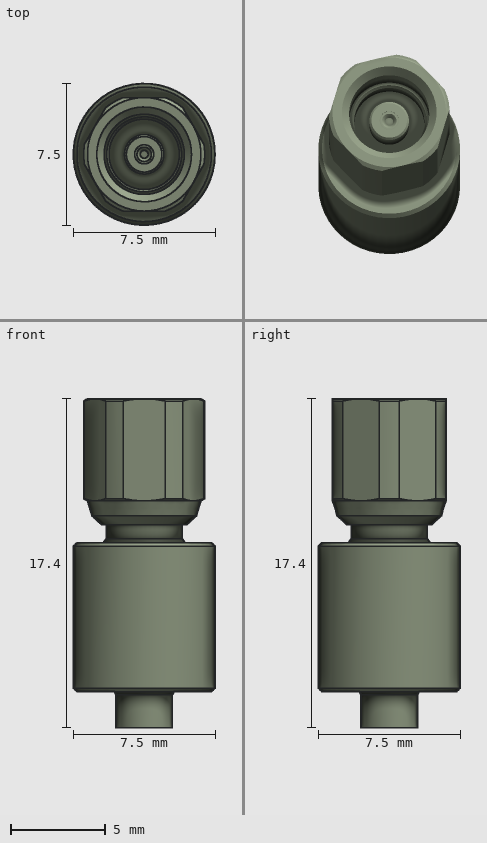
import cadquery as cq
import math

total_height = 17.41

pin_radius = 1.5
pin_flare_radius = 1.58
pin_flare_height = 0.15
body_radius = 3.752
body_bottom = 1.92
body_top = 9.8
body_chamfer = 0.2
neck_radius = 2.02
neck_flare_radius = 2.16
neck_flare_height = 0.21

hex_across_flats = 6.0
hex_corner_radius = 3.2
hex_bottom = 12.01
hex_chamfer_angle = 30.0
collar_top_radius = hex_across_flats / 2
collar_middle_radius = 2.77
collar_middle = 11.23
collar_bottom_radius = 2.25
collar_bottom = 10.75

socket_radius = 2.12
socket_mouth_radius = 2.5
socket_floor = 15.5
cavity_radius = 1.86
cavity_mouth_radius = 1.98
cavity_floor = 14.62

insulator_radius = 1.05
insulator_chamfer = 0.1
insulator_top = 15.69
contact_hole_radius = 0.5
contact_cone_radius = 0.38
contact_floor_radius = 0.21
contact_recess = 0.05
contact_cone_depth = 0.17


def revolve_profile(points):
    """Revolve a closed outline of (radius, height) points about Z."""
    return cq.Workplane("XZ").polyline(points).close().revolve(360, (0, 0), (0, 1))


def make_body():
    chamfered_radius = body_radius - body_chamfer
    return revolve_profile([
        (0, 0),
        (pin_radius, 0),
        (pin_radius, body_bottom - pin_flare_height),
        (pin_flare_radius, body_bottom),
        (chamfered_radius, body_bottom),
        (body_radius, body_bottom + body_chamfer),
        (body_radius, body_top - body_chamfer),
        (chamfered_radius, body_top),
        (neck_flare_radius, body_top),
        (neck_radius, body_top + neck_flare_height),
        (neck_radius, collar_bottom),
        (collar_bottom_radius, collar_bottom),
        (collar_middle_radius, collar_middle),
        (collar_top_radius, hex_bottom),
        (0, hex_bottom),
    ])


def make_hex():
    """Hexagon trimmed by a turned blank that rounds and chamfers its corners."""
    height = total_height - hex_bottom
    hexagon_diameter = hex_across_flats / math.cos(math.radians(30))
    hexagon = cq.Workplane("XY").workplane(offset=hex_bottom).polygon(6, hexagon_diameter).extrude(height)
    flat_radius = hex_across_flats / 2
    chamfer_height = (hex_corner_radius - flat_radius) * math.tan(math.radians(hex_chamfer_angle))
    blank = revolve_profile([
        (0, hex_bottom),
        (flat_radius, hex_bottom),
        (hex_corner_radius, hex_bottom + chamfer_height),
        (hex_corner_radius, total_height - chamfer_height),
        (flat_radius, total_height),
        (0, total_height),
    ])
    return hexagon.intersect(blank)


def make_socket():
    """Stepped bore with 45 degree lead-ins at the mouth and at the step."""
    mouth_depth = socket_mouth_radius - socket_radius
    step_depth = cavity_mouth_radius - cavity_radius
    return revolve_profile([
        (0, cavity_floor),
        (cavity_radius, cavity_floor),
        (cavity_radius, socket_floor - step_depth),
        (cavity_mouth_radius, socket_floor),
        (socket_radius, socket_floor),
        (socket_radius, total_height - mouth_depth),
        (socket_mouth_radius, total_height),
        (0, total_height),
    ])


def make_insulator():
    """Chamfered boss on the cavity floor with a recessed, cone-ended contact."""
    cone_top = insulator_top - contact_recess
    contact_floor = cone_top - contact_cone_depth
    return revolve_profile([
        (0, cavity_floor),
        (insulator_radius, cavity_floor),
        (insulator_radius, insulator_top - insulator_chamfer),
        (insulator_radius - insulator_chamfer, insulator_top),
        (contact_hole_radius, insulator_top),
        (contact_hole_radius, cone_top),
        (contact_cone_radius, cone_top),
        (contact_floor_radius, contact_floor),
        (0, contact_floor),
    ])


result = make_body().union(make_hex()).cut(make_socket()).union(make_insulator())